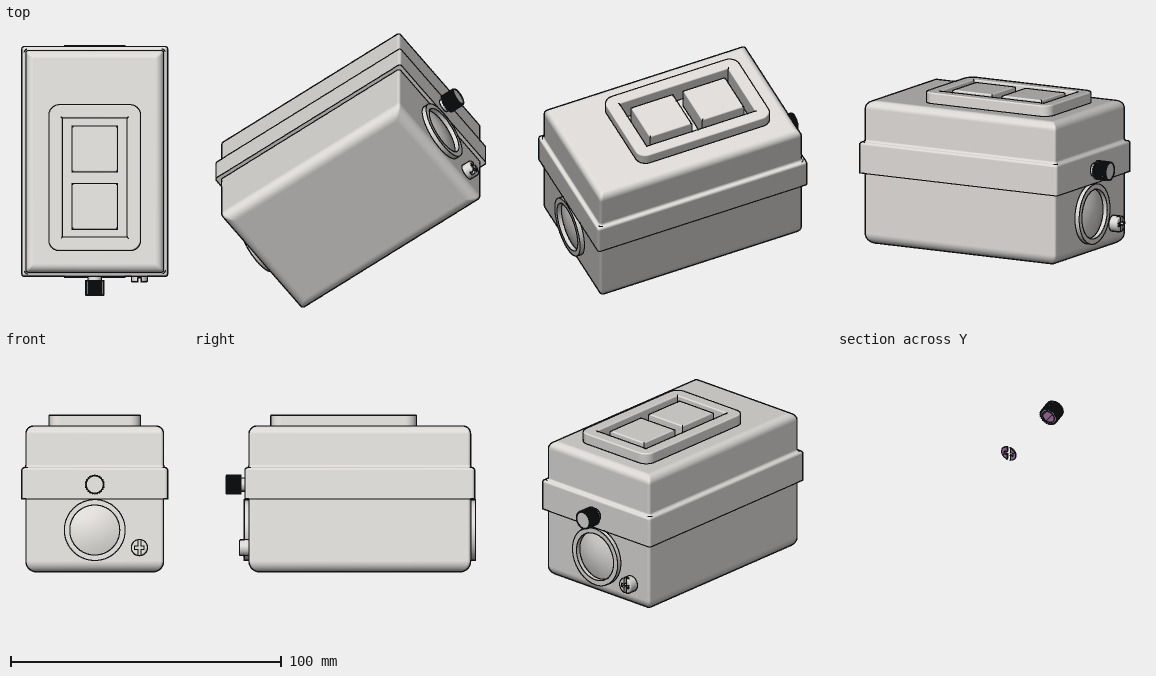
import cadquery as cq
import math

BODY_X = 51.0
BODY_Y = 82.0
LID_TOP_Z = 54.0
LID_EDGE_R = 3.0
BASE_EDGE_R = 4.0
CORNER_R = 1.0

SKIRT_OFFSET = 1.5
SKIRT_BOTTOM_Z = 27.0
SKIRT_STEP_TOP_Z = 39.5
STEP_R = 1.0

BEZEL_X = 34.0
BEZEL_Y = 54.0
BEZEL_TOP_Z = 58.0
BEZEL_CENTER_Y = -6.0
BEZEL_CORNER_R = 4.0
WINDOW_X = 24.0
WINDOW_Y = 44.0
WINDOW_DEPTH = 8.0
WINDOW_FLOOR_Z = BEZEL_TOP_Z - WINDOW_DEPTH
EDGE_R = 0.5

BUTTON_SIZE = 17.0
BUTTON_PITCH = 21.2

ENTRY_Z = 15.5
ENTRY_FACE_Y = 42.8
ENTRY_R = 11.25
DOME_R = 9.25
DOME_HEIGHT = ENTRY_FACE_Y - BODY_Y / 2

KNOB_Z = 32.3
KNOB_R = 3.5
KNOB_ROOT_R = 3.15
KNOB_TEETH = 24
KNOB_LENGTH = 5.5
KNOB_END_Y = -49.5
KNOB_CHAMFER = 0.3
NECK_R = 2.5

SCREW_X = 16.5
SCREW_Z = 9.0
SCREW_R = 3.0
SCREW_END_Y = -44.5
SLOT_WIDTH = 1.2
SLOT_DEPTH = 1.5
CROSS_LENGTH = 3.5


def end_disc(radius, x, z, y_inner, y_outer):
    """Cylinder along Y growing from y_inner outwards to y_outer on the -Y end."""
    plane = cq.Workplane("XZ", origin=(x, y_inner, z))
    return plane.circle(radius).extrude(y_inner - y_outer)


def rounded_block(size_x, size_y, z_bottom, z_top, corner_r):
    """Upright block centred on X = Y = 0 with rounded vertical corners."""
    block = cq.Workplane("XY", origin=(0, 0, z_bottom)).rect(size_x, size_y).extrude(z_top - z_bottom)
    return block.edges("|Z").fillet(corner_r)


def make_lid():
    lid = cq.Workplane("XY", origin=(0, 0, SKIRT_BOTTOM_Z)).rect(BODY_X, BODY_Y)
    lid = lid.extrude(LID_TOP_Z - SKIRT_BOTTOM_Z)
    lid = lid.faces(">Z").edges().fillet(LID_EDGE_R)
    return lid.edges("|Z").fillet(CORNER_R)


def make_skirt():
    """Skirt whose top edge runs into the lid wall in an S of two equal arcs."""
    turn = math.acos(1 - SKIRT_OFFSET / (2 * STEP_R))
    arc_drop = STEP_R * math.sin(turn)
    crown_z = SKIRT_STEP_TOP_Z - 2 * arc_drop + STEP_R
    skirt_x = BODY_X + 2 * SKIRT_OFFSET
    skirt_y = BODY_Y + 2 * SKIRT_OFFSET
    skirt = rounded_block(skirt_x, skirt_y, SKIRT_BOTTOM_Z, crown_z, CORNER_R)
    skirt = skirt.faces(">Z").edges().fillet(STEP_R)

    foot_z = SKIRT_STEP_TOP_Z - STEP_R
    wide = 2 * (SKIRT_OFFSET + STEP_R)
    foot = rounded_block(BODY_X + wide, BODY_Y + wide, SKIRT_BOTTOM_Z, foot_z, CORNER_R)
    wall = rounded_block(BODY_X, BODY_Y, SKIRT_BOTTOM_Z, LID_TOP_Z - LID_EDGE_R, CORNER_R)
    foot_edges = cq.selectors.BoxSelector(
        (-BODY_X / 2 - STEP_R, -BODY_Y / 2 - STEP_R, foot_z - STEP_R),
        (BODY_X / 2 + STEP_R, BODY_Y / 2 + STEP_R, foot_z + STEP_R),
    )
    collar = foot.union(wall).edges(foot_edges).fillet(STEP_R)
    trim = rounded_block(
        BODY_X + SKIRT_OFFSET, BODY_Y + SKIRT_OFFSET, SKIRT_BOTTOM_Z, SKIRT_STEP_TOP_Z, CORNER_R
    )
    return skirt.union(collar.intersect(trim))


def make_base():
    base = cq.Workplane("XY").box(BODY_X, BODY_Y, SKIRT_BOTTOM_Z, centered=(True, True, False))
    base = base.faces("<Z").edges().fillet(BASE_EDGE_R)
    return base.edges("|Z").fillet(CORNER_R)


def make_bezel():
    bezel = rounded_block(BEZEL_X, BEZEL_Y, WINDOW_FLOOR_Z, BEZEL_TOP_Z, BEZEL_CORNER_R)
    bezel = bezel.faces(">Z").edges().fillet(EDGE_R)
    return bezel.translate((0, BEZEL_CENTER_Y, 0))


def cut_window(body):
    """Cut the rectangular well for the buttons and round over its rim."""
    well = cq.Workplane("XY", origin=(0, BEZEL_CENTER_Y, WINDOW_FLOOR_Z))
    well = well.rect(WINDOW_X, WINDOW_Y).extrude(WINDOW_DEPTH)
    reach_x = WINDOW_X / 2 + EDGE_R
    reach_y = WINDOW_Y / 2 + EDGE_R
    rim = cq.selectors.BoxSelector(
        (-reach_x, BEZEL_CENTER_Y - reach_y, BEZEL_TOP_Z - EDGE_R),
        (reach_x, BEZEL_CENTER_Y + reach_y, BEZEL_TOP_Z + EDGE_R),
    )
    return body.cut(well).edges(rim).fillet(EDGE_R)


def make_button(y):
    """Square button standing on the well floor, flush with the bezel."""
    button = (
        cq.Workplane("XY", origin=(0, y, WINDOW_FLOOR_Z))
        .rect(BUTTON_SIZE, BUTTON_SIZE)
        .extrude(WINDOW_DEPTH)
    )
    return button.faces(">Z").edges().fillet(EDGE_R)


def make_entry():
    """Ring around a dome that rises from the end wall to the ring face, on the -Y end."""
    wall_y = -BODY_Y / 2
    ring = end_disc(ENTRY_R, 0, ENTRY_Z, wall_y, -ENTRY_FACE_Y)
    recess = end_disc(DOME_R, 0, ENTRY_Z, wall_y, -ENTRY_FACE_Y)
    sphere_r = (DOME_R**2 + DOME_HEIGHT**2) / (2 * DOME_HEIGHT)
    sphere = cq.Workplane("XY").sphere(sphere_r)
    sphere = sphere.translate((0, wall_y - DOME_HEIGHT + sphere_r, ENTRY_Z))
    dome = sphere.intersect(end_disc(DOME_R, 0, ENTRY_Z, wall_y, -ENTRY_FACE_Y))
    return ring.cut(recess).union(dome)


def make_knob():
    inner_y = KNOB_END_Y + KNOB_LENGTH
    tooth_angle = 2 * math.pi / KNOB_TEETH
    corners = ((-1 / 8, KNOB_R), (1 / 8, KNOB_R), (3 / 8, KNOB_ROOT_R), (5 / 8, KNOB_ROOT_R))
    outline = []
    for tooth in range(KNOB_TEETH):
        for fraction, radius in corners:
            angle = (tooth + fraction) * tooth_angle
            outline.append((radius * math.cos(angle), radius * math.sin(angle)))
    teeth = (
        cq.Workplane("XZ", origin=(0, inner_y, KNOB_Z))
        .polyline(outline)
        .close()
        .extrude(KNOB_LENGTH)
    )
    blank = end_disc(KNOB_R, 0, KNOB_Z, inner_y, KNOB_END_Y).faces("<Y").chamfer(KNOB_CHAMFER)
    neck = end_disc(NECK_R, 0, KNOB_Z, -BODY_Y / 2, inner_y)
    return teeth.intersect(blank).union(neck)


def make_screw():
    screw = end_disc(SCREW_R, SCREW_X, SCREW_Z, -BODY_Y / 2, SCREW_END_Y)
    screw = screw.faces("<Y").edges().fillet(EDGE_R)
    plane = cq.Workplane("XZ", origin=(SCREW_X, SCREW_END_Y + SLOT_DEPTH, SCREW_Z))
    slot = plane.rect(SLOT_WIDTH, 2 * SCREW_R).extrude(SLOT_DEPTH)
    cross = plane.rect(CROSS_LENGTH, SLOT_WIDTH).extrude(SLOT_DEPTH)
    return screw.cut(slot).cut(cross)


result = make_base().union(make_lid()).union(make_skirt()).union(make_bezel())
result = cut_window(result)
for side in (-1, 1):
    result = result.union(make_button(BEZEL_CENTER_Y + side * BUTTON_PITCH / 2))
entry = make_entry()
result = result.union(entry).union(entry.mirror("XZ"))
result = result.union(make_knob()).union(make_screw())